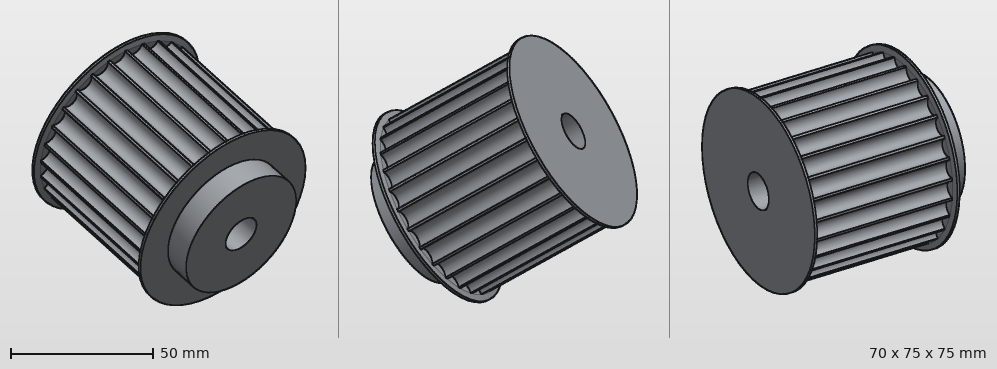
import cadquery as cq


pulley_width = 60.0
hub_length = 10.0
hub_diameter = 50.0
bore_diameter = 14.0

flange_diameter = 75.0
flange_rim_width = 1.05
flange_root_width = 1.5

tooth_count = 28
drum_diameter = 70.0
groove_radius = 3.4

total_length = pulley_width + hub_length
toothed_width = pulley_width - 2 * flange_root_width
drum_radius = drum_diameter / 2
flange_radius = flange_diameter / 2
hub_radius = hub_diameter / 2


def make_body():
    """Revolve the half section of flanges, drum and hub about the X axis."""
    half_section = [
        (0, 0),
        (0, flange_radius),
        (flange_rim_width, flange_radius),
        (flange_root_width, drum_radius),
        (pulley_width - flange_root_width, drum_radius),
        (pulley_width - flange_rim_width, flange_radius),
        (pulley_width, flange_radius),
        (pulley_width, hub_radius),
        (total_length, hub_radius),
        (total_length, 0),
    ]
    return cq.Workplane("XY").polyline(half_section).close().revolve(360, (0, 0, 0), (1, 0, 0))


def make_grooves():
    """Belt groove cutters between the flanges, one of them on the Y axis."""
    return (
        cq.Workplane("YZ", origin=(flange_root_width, 0, 0))
        .polarArray(drum_radius, 0, 360, tooth_count)
        .circle(groove_radius)
        .extrude(toothed_width)
    )


def make_bore():
    """Through bore cutter along the pulley axis."""
    return cq.Workplane("YZ").circle(bore_diameter / 2).extrude(total_length)


result = make_body().cut(make_grooves()).cut(make_bore())